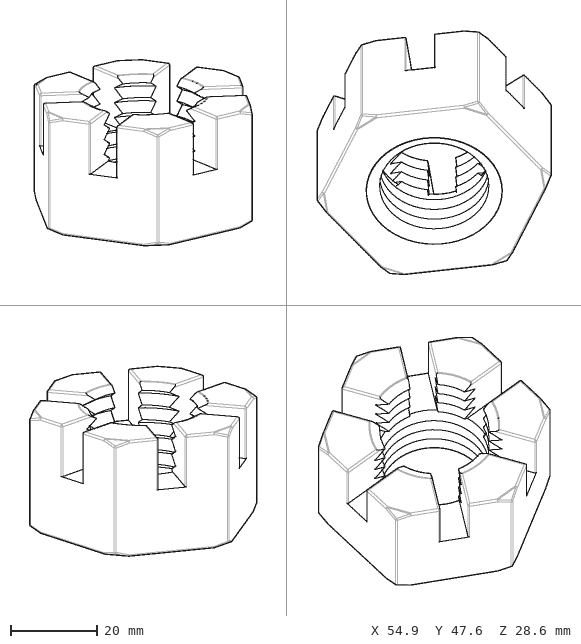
import cadquery as cq
import math

SIDES = 6
SECTOR = 360 / SIDES
LENGTH = 54.85
HEIGHT = 28.55

CORNER_REACH = 25.45
CORNER_ANGLE = math.radians(30)
CUT_MARGIN = 0.55
EDGE_RADIUS = 0.5

SLOT_WIDTH = 6.6
SLOT_DEPTH = 12.7
SLOT_EDGE_RADIUS = 0.3
SLOT_FLOOR = HEIGHT - SLOT_DEPTH

PITCH = 3.6
THREAD_HALF_ANGLE = math.radians(30)
CREST_RADIUS = 12.65
FIRST_CREST_DEPTH = 1.35
THREAD_DEPTH = PITCH / 2 / math.tan(THREAD_HALF_ANGLE)
ROOT_RADIUS = CREST_RADIUS + THREAD_DEPTH

HALF_SECTOR = math.radians(SECTOR / 2)
CORNER_RADIUS = LENGTH / 2 + EDGE_RADIUS * (1 / math.cos(HALF_SECTOR) - 1)
APOTHEM = CORNER_RADIUS * math.cos(HALF_SECTOR)

AXIS_START = (0, 0, 0)
AXIS_END = (0, 0, 1)
TOLERANCE = 0.005


def corner_chamfer_cutter():
    """Wedge that bevels the top of the +X corner."""
    overhang = CORNER_RADIUS - CORNER_REACH + CUT_MARGIN
    drop = overhang * math.tan(CORNER_ANGLE)
    wedge = [
        (CORNER_REACH, HEIGHT),
        (CORNER_REACH + overhang, HEIGHT),
        (CORNER_REACH + overhang, HEIGHT - drop),
    ]
    return cq.Workplane("XZ").polyline(wedge).close().extrude(APOTHEM / 2, both=True)


def hex_body():
    """Hexagon with bevelled corners at both ends."""
    body = cq.Workplane("XY").polygon(SIDES, 2 * CORNER_RADIUS).extrude(HEIGHT)
    top_cutter = corner_chamfer_cutter()
    bottom_cutter = top_cutter.mirror("XY", (0, 0, HEIGHT / 2))
    for i in range(SIDES):
        body = body.cut(top_cutter.rotate(AXIS_START, AXIS_END, i * SECTOR))
        body = body.cut(bottom_cutter.rotate(AXIS_START, AXIS_END, i * SECTOR))
    return body


def slot_cutter():
    """Slot through the flats on both sides of the nut, running along Y."""
    return (
        cq.Workplane("XY", origin=(0, 0, SLOT_FLOOR))
        .rect(SLOT_WIDTH, 2 * CORNER_RADIUS)
        .extrude(2 * SLOT_DEPTH)
    )


def thread_cutter():
    """Bore with V rings at every pitch, running past both end faces."""
    top_crest = HEIGHT - FIRST_CREST_DEPTH + PITCH
    ring_count = math.ceil(HEIGHT / PITCH) + 2
    profile = [(0, top_crest), (CREST_RADIUS, top_crest)]
    for i in range(ring_count):
        crest = top_crest - i * PITCH
        profile.append((ROOT_RADIUS, crest - PITCH / 2))
        profile.append((CREST_RADIUS, crest - PITCH))
    profile.append((0, top_crest - ring_count * PITCH))
    return cq.Workplane("XZ").polyline(profile).close().revolve(360, (0, 0), (0, 1))


def is_slot_upright(edge):
    """True for the upright edges where slot walls meet the flats."""
    box = edge.BoundingBox()
    center = edge.Center()
    starts_at_floor = abs(box.zmin - SLOT_FLOOR) < TOLERANCE
    on_flat = math.hypot(center.x, center.y) > APOTHEM - TOLERANCE
    return starts_at_floor and on_flat and box.zlen > SLOT_DEPTH / 2


def is_block_edge(edge):
    """True for the other outer edges of the castle blocks and the top rim of the bore."""
    box = edge.BoundingBox()
    center = edge.Center()
    on_top = box.zmin > HEIGHT - TOLERANCE
    beyond_thread = math.hypot(center.x, center.y) > (ROOT_RADIUS + APOTHEM) / 2
    on_slot_floor = abs(box.zmin - SLOT_FLOOR) < TOLERANCE
    return on_top or (beyond_thread and not on_slot_floor)


def round_edges(body, is_chosen, radius):
    """Fillet the edges of body for which is_chosen holds."""
    chosen = [edge for edge in body.edges().vals() if is_chosen(edge)]
    return body.newObject(chosen).fillet(radius)


nut = hex_body().cut(thread_cutter())
for i in range(SIDES // 2):
    nut = nut.cut(slot_cutter().rotate(AXIS_START, AXIS_END, i * SECTOR))
nut = round_edges(nut, is_block_edge, EDGE_RADIUS)
result = round_edges(nut, is_slot_upright, SLOT_EDGE_RADIUS)